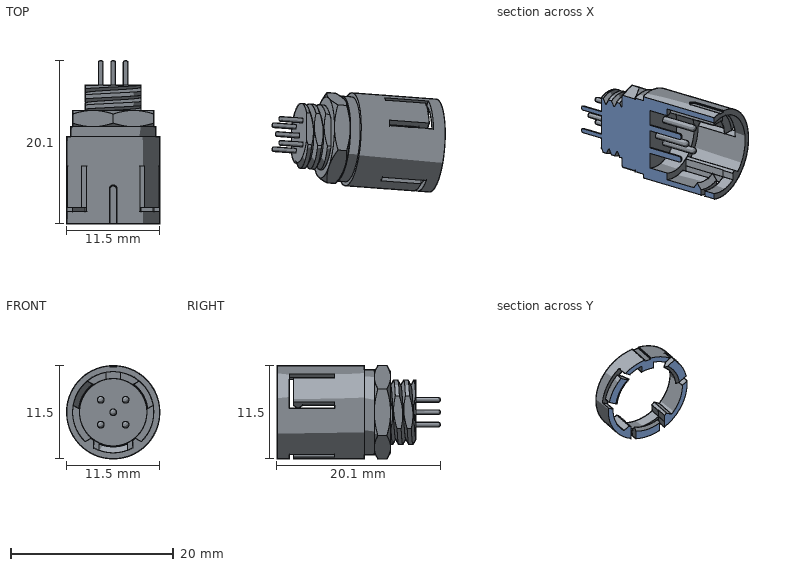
import cadquery as cq
import math


SHELL_RADIUS = 5.75
SHELL_LENGTH = 10.75
BORE_RADIUS = 5.0
BORE_DEPTH = 7.1
MID_WALL_RADIUS = (BORE_RADIUS + SHELL_RADIUS) / 2
FLOOR_RADIUS = 4.15
FLOOR_DEPTH = 9.7

FLANGE_RADIUS = 5.25
FLANGE_END = 11.97
NUT_SIDES = 6
NUT_ACROSS_FLATS = 10.0
NUT_END = 13.97
NUT_CHAMFER_ANGLE = 30.0

THREAD_RADIUS = 4.0
THREAD_ROOT_RADIUS = 3.32
THREAD_PITCH = 1.25
THREAD_GROOVE_WIDTH = 0.75
THREAD_OVERCUT = 0.1
STUD_ACROSS_FLATS = 6.9
STUD_END = 17.1
GROOVE_START = 13.04
GROOVE_TURNS = 4

CONTACT_PITCH = 1.53
CONTACT_CENTRES = [(0, 0)] + [
    (x, z) for x in (-CONTACT_PITCH, CONTACT_PITCH) for z in (-CONTACT_PITCH, CONTACT_PITCH)
]
CONTACT_RADIUS = 0.41
CONTACT_TIP = 5.0
TAIL_RADIUS = 0.3
TAIL_END = 20.1
TAIL_ROUNDING = 0.25

LATCH_COUNT = 3
WINDOW_HALF_WIDTH = 2.42
WINDOW_START = 1.5
TAB_HALF_WIDTH = 1.73
TAB_START = 2.0
BARB_LENGTH = 1.15
BARB_PEAK_RADIUS = 4.27

RIB_INNER_RADIUS = 4.2
RIB_LATCH_SIDE_OUTER_X = WINDOW_HALF_WIDTH
RIB_LATCH_SIDE_INNER_X = 2.36
RIB_BACK_OFFSET = 1.41
RIB_BACK_ANGLE = 30.0

KEY_HALF_WIDTH = 0.88
KEY_START = 0.5

MARK_HALF_WIDTH = 0.4
MARK_MOUTH_HALF_WIDTH = 0.52
MARK_STRAIGHT_LENGTH = 4.27
MARK_FLOOR_Z = 5.57
MARK_MOUTH_Z = 5.7


def rod(radius, start, end, x=0, z=0):
    """Cylinder along Y from start to end."""
    axis_start = cq.Vector(x, start, z)
    return cq.Workplane(cq.Solid.makeCylinder(radius, end - start, axis_start, cq.Vector(0, 1, 0)))


def tube(outer_radius, inner_radius, start, end):
    return rod(outer_radius, start, end).cut(rod(inner_radius, start, end))


def block(half_width, start, end, bottom, top):
    """Box centred on X = 0, from start to end in Y and bottom to top in Z."""
    return cq.Workplane("XY").box(
        2 * half_width, end - start, top - bottom, centered=(True, False, False)
    ).translate((0, start, bottom))


def make_shell():
    shell = rod(SHELL_RADIUS, 0, SHELL_LENGTH)
    shell = shell.cut(rod(BORE_RADIUS, 0, BORE_DEPTH))
    return shell.cut(rod(FLOOR_RADIUS, 0, FLOOR_DEPTH))


def make_rib():
    """Rib on the +X side: one face beside the lower latch, the other along RIB_BACK_ANGLE."""
    angle = math.radians(RIB_BACK_ANGLE)

    def back_point(radius):
        along = math.sqrt(radius**2 - RIB_BACK_OFFSET**2)
        x = along * math.cos(angle) - RIB_BACK_OFFSET * math.sin(angle)
        z = -along * math.sin(angle) - RIB_BACK_OFFSET * math.cos(angle)
        return x, z

    def latch_side_point(radius):
        slope = (RIB_LATCH_SIDE_OUTER_X - RIB_LATCH_SIDE_INNER_X) / (BORE_RADIUS - RIB_INNER_RADIUS)
        x = RIB_LATCH_SIDE_INNER_X + slope * (radius - RIB_INNER_RADIUS)
        return x, -math.sqrt(radius**2 - x**2)

    core_radius = RIB_INNER_RADIUS - (BORE_RADIUS - RIB_INNER_RADIUS)
    outline = [
        back_point(core_radius),
        back_point(MID_WALL_RADIUS),
        latch_side_point(MID_WALL_RADIUS),
        latch_side_point(core_radius),
    ]
    prism = cq.Workplane("XZ").polyline(outline).close().extrude(-BORE_DEPTH)
    return prism.intersect(tube(MID_WALL_RADIUS, RIB_INNER_RADIUS, 0, BORE_DEPTH))


def make_key():
    sector = block(KEY_HALF_WIDTH, KEY_START, BORE_DEPTH, 0, SHELL_RADIUS)
    return sector.intersect(tube(MID_WALL_RADIUS, FLOOR_RADIUS, KEY_START, BORE_DEPTH))


def make_window():
    return block(WINDOW_HALF_WIDTH, WINDOW_START, BORE_DEPTH, -2 * SHELL_RADIUS, -FLOOR_RADIUS / 2)


def make_tab():
    """Lower latch: a strip of the wall with a triangular barb at its free end."""
    wall = tube(SHELL_RADIUS, BORE_RADIUS, TAB_START, BORE_DEPTH)
    barb_end = TAB_START + BARB_LENGTH
    barb_outline = [
        (MID_WALL_RADIUS, TAB_START),
        (BORE_RADIUS, TAB_START),
        (BARB_PEAK_RADIUS, TAB_START + BARB_LENGTH / 2),
        (BORE_RADIUS, barb_end),
        (MID_WALL_RADIUS, barb_end),
    ]
    barb = cq.Workplane("XY").polyline(barb_outline).close().revolve(360, (0, 0), (0, 1))
    return wall.union(barb).intersect(
        block(TAB_HALF_WIDTH, TAB_START, BORE_DEPTH, -SHELL_RADIUS, 0)
    )


def make_mark():
    """Round-ended outer groove, open at the mating face, with a flared mouth."""

    def slot(half_width, bottom):
        length = 2 * (MARK_STRAIGHT_LENGTH + half_width)
        return cq.Workplane("XY", origin=(0, 0, bottom)).slot2D(length, 2 * half_width, 90)

    groove = slot(MARK_HALF_WIDTH, MARK_FLOOR_Z).extrude(SHELL_RADIUS - MARK_FLOOR_Z)
    flare = math.degrees(
        math.atan2(MARK_MOUTH_HALF_WIDTH - MARK_HALF_WIDTH, SHELL_RADIUS - MARK_MOUTH_Z)
    )
    mouth = slot(MARK_HALF_WIDTH, MARK_MOUTH_Z).extrude(SHELL_RADIUS - MARK_MOUTH_Z, taper=-flare)
    return groove.union(mouth)


def make_nut():
    """Hexagon with corners at +Z and -Z, both ends chamfered by cones."""
    length = NUT_END - FLANGE_END
    flat_radius = NUT_ACROSS_FLATS / 2
    corner_radius = flat_radius / math.cos(math.pi / NUT_SIDES)
    drop = (corner_radius - flat_radius) * math.tan(math.radians(NUT_CHAMFER_ANGLE))
    hexagon = (
        cq.Workplane("XZ", origin=(0, FLANGE_END, 0))
        .transformed(rotate=(0, 0, 90))
        .polygon(NUT_SIDES, 2 * corner_radius)
        .extrude(-length)
    )
    envelope_outline = [
        (0, FLANGE_END),
        (flat_radius, FLANGE_END),
        (corner_radius, FLANGE_END + drop),
        (corner_radius, NUT_END - drop),
        (flat_radius, NUT_END),
        (0, NUT_END),
    ]
    envelope = cq.Workplane("XY").polyline(envelope_outline).close().revolve(360, (0, 0), (0, 1))
    return hexagon.intersect(envelope)


def make_thread_turn():
    """One turn of a right-handed V groove, swept along Z and then turned onto Y."""
    helix = cq.Wire.makeHelix(THREAD_PITCH, THREAD_PITCH, THREAD_ROOT_RADIUS)
    depth = THREAD_RADIUS - THREAD_ROOT_RADIUS
    outer_radius = THREAD_RADIUS + THREAD_OVERCUT
    outer_half_width = THREAD_GROOVE_WIDTH / 2 * (depth + THREAD_OVERCUT) / depth
    profile = [
        (THREAD_ROOT_RADIUS, 0),
        (outer_radius, -outer_half_width),
        (outer_radius, outer_half_width),
    ]
    groove = cq.Workplane("XZ").polyline(profile).close().sweep(cq.Workplane(helix), isFrenet=True)
    return groove.rotate((0, 0, 0), (1, 0, 0), -90)


def make_stud():
    stud = rod(THREAD_RADIUS, NUT_END, STUD_END)
    flats = block(STUD_ACROSS_FLATS / 2, NUT_END, STUD_END, -SHELL_RADIUS, SHELL_RADIUS)
    stud = stud.intersect(flats)
    turn = make_thread_turn()
    for index in range(GROOVE_TURNS):
        stud = stud.cut(turn.translate((0, GROOVE_START + index * THREAD_PITCH, 0)))
    return stud


def make_contact(x, z):
    """Domed contact in the bore and its thinner solder tail behind the stud."""
    dome_centre = CONTACT_TIP + CONTACT_RADIUS
    contact = rod(CONTACT_RADIUS, dome_centre, FLANGE_END, x, z)
    dome = cq.Workplane("XY").sphere(CONTACT_RADIUS).translate((x, dome_centre, z))
    tail = rod(TAIL_RADIUS, FLANGE_END, TAIL_END, x, z).faces(">Y").edges().fillet(TAIL_ROUNDING)
    return contact.union(dome).union(tail)


rib = make_rib()
result = make_shell().union(rib).union(rib.mirror("YZ")).union(make_key())
for index in range(LATCH_COUNT):
    turn = index * 360 / LATCH_COUNT
    result = result.cut(make_window().rotate((0, 0, 0), (0, 1, 0), turn))
    result = result.union(make_tab().rotate((0, 0, 0), (0, 1, 0), turn))
result = result.cut(make_mark())
result = result.union(rod(FLANGE_RADIUS, SHELL_LENGTH, FLANGE_END))
result = result.union(make_nut()).union(make_stud())
for contact_x, contact_z in CONTACT_CENTRES:
    result = result.union(make_contact(contact_x, contact_z))